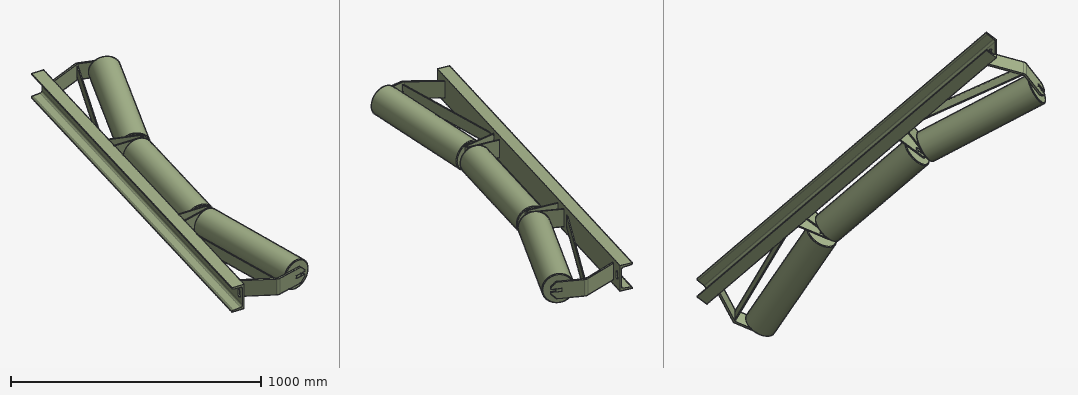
import cadquery as cq
import math

beam_length = 1700.0
beam_height = 120.0
flange_depth = 55.0
web_thickness = 7.0
flange_thickness = 10.0
flange_taper = 0.08
root_radius = 9.0
tip_radius = 6.0
beam_slot_spacing = 1640.0
beam_slot_length = 36.0
beam_slot_width = 17.0

roller_diameter = 133.0
roller_length = 530.0
roller_rim_chamfer = 3.0
shaft_diameter = 25.0
shaft_flat_width = 14.0
trough_angle = 15
trail_angle = 2
middle_axis_y = 113.0
wing_center_x = 558.0
wing_center_y = 188.0

outer_strip_height = 77.0
inner_strip_height = 82.0
slot_opening = 68.0
slot_overrun = 3.0

outer_strip = 9.0
outer_bend_radius = 22.0
outer_bend_y = 154.0
outer_reach_x = 855.0
outer_top_leg = 137.0
outer_foot_angle = 24
outer_corner = 22.0

inner_strip = 5.0
inner_top_y = 144.0
inner_upright_x = 272.0
inner_foot_x = 325.0

brace_strip = 5.0
brace_height = 55.0
brace_foot_x = 360.0
brace_angle = 17.5

roller_radius = roller_diameter / 2
shaft_radius = shaft_diameter / 2
trough_sin = math.sin(math.radians(trough_angle))
trough_cos = math.cos(math.radians(trough_angle))
trough_tan = trough_sin / trough_cos
foot_tan = math.tan(math.radians(outer_foot_angle))
brace_tan = math.tan(math.radians(brace_angle))
wing_center_z = -roller_length / 2 * math.sin(math.radians(trail_angle))
middle_axis_z = 2 * wing_center_z
bend_center = (outer_bend_radius - outer_reach_x, outer_bend_y)
bend_inside_radius = outer_bend_radius - outer_strip
inner_leg_half_x = inner_strip / 2 / trough_cos


def along_wing(x, y):
    """Distance of a point from the wing roller's middle, along its axis toward the middle roller."""
    return (x + wing_center_x) * trough_cos - (y - wing_center_y) * trough_sin


middle_shaft_reach = inner_upright_x + inner_strip / 2
wing_shaft_outer_end = along_wing(*bend_center) - outer_bend_radius
wing_shaft_inner_end = along_wing(inner_leg_half_x - inner_foot_x, 0)


def polar(center, radius, angle):
    turn = math.radians(angle)
    return (center[0] + radius * math.cos(turn), center[1] + radius * math.sin(turn))


def with_mirror_copy(body):
    """The solid on the -X side and its separate copy on the +X side."""
    return [body.val(), body.mirror("YZ").val()]


def place_middle(body):
    return body.translate((0, middle_axis_y, middle_axis_z))


def place_wing(body):
    leaned = body.rotate((0, 0, 0), (0, 1, 0), trail_angle)
    tilted = leaned.rotate((0, 0, 0), (0, 0, 1), -trough_angle)
    return tilted.translate((-wing_center_x, wing_center_y, wing_center_z))


def make_beam():
    half_height = beam_height / 2
    half_depth = flange_depth / 2
    tip_z = half_height - flange_thickness + flange_taper * half_depth
    root_z = half_height - flange_thickness - flange_taper * (half_depth - web_thickness)
    outline = [
        (0, half_height),
        (-flange_depth, half_height),
        (-flange_depth, tip_z),
        (-web_thickness, root_z),
        (-web_thickness, -root_z),
        (-flange_depth, -tip_z),
        (-flange_depth, -half_height),
        (0, -half_height),
    ]
    beam = cq.Workplane("YZ").polyline(outline).close().extrude(beam_length / 2, both=True)

    def long_edges(y, z):
        """The pair of edges along X at this y and at heights -z and +z."""
        margin = 0.2
        return cq.selectors.BoxSelector((-margin, y - margin, -z - margin), (margin, y + margin, z + margin))

    beam = beam.edges(long_edges(-web_thickness, root_z)).fillet(root_radius)
    beam = beam.edges(long_edges(-flange_depth, tip_z)).fillet(tip_radius)
    slots = (
        cq.Workplane("XZ")
        .pushPoints([(-beam_slot_spacing / 2, 0), (beam_slot_spacing / 2, 0)])
        .slot2D(beam_slot_length, beam_slot_width, 90)
        .extrude(web_thickness)
    )
    return beam.cut(slots)


def make_roller(start, end):
    """Roller about the X axis, centred on the origin, with a flatted shaft from x = start to x = end."""
    shell = cq.Workplane("YZ", origin=(-roller_length / 2, 0, 0)).circle(roller_radius).extrude(roller_length)
    shell = shell.edges("%CIRCLE").chamfer(roller_rim_chamfer)
    shaft = cq.Workplane("YZ", origin=(start, 0, 0)).circle(shaft_radius).extrude(end - start)
    flats = cq.Workplane("XY").box(2 * (end - start), shaft_diameter, shaft_flat_width)
    return shell.union(shaft.intersect(flats))


def make_shaft_slot(start, end):
    """Cutter that takes the flats of a shaft from start to end and opens toward +Y."""
    length = end - start + 2 * slot_overrun
    depth = shaft_radius + slot_opening
    return cq.Workplane("XY", origin=(start - slot_overrun, -shaft_radius, 0)).box(
        length, depth, shaft_flat_width, centered=(False, False, True)
    )


def make_outer_bracket():
    leg_angle = 180 - trough_angle
    foot_angle = 180 + outer_foot_angle
    middle_angle = (leg_angle + foot_angle) / 2

    def top(radius):
        x, y = polar(bend_center, radius, leg_angle)
        return (x + outer_top_leg * trough_sin, y + outer_top_leg * trough_cos)

    def foot(radius):
        x, y = polar(bend_center, radius, foot_angle)
        return (x + y * foot_tan, 0)

    bracket = (
        cq.Workplane("XY")
        .moveTo(*top(outer_bend_radius))
        .lineTo(*polar(bend_center, outer_bend_radius, leg_angle))
        .threePointArc(
            polar(bend_center, outer_bend_radius, middle_angle),
            polar(bend_center, outer_bend_radius, foot_angle),
        )
        .lineTo(*foot(outer_bend_radius))
        .lineTo(*foot(bend_inside_radius))
        .lineTo(*polar(bend_center, bend_inside_radius, foot_angle))
        .threePointArc(
            polar(bend_center, bend_inside_radius, middle_angle),
            polar(bend_center, bend_inside_radius, leg_angle),
        )
        .lineTo(*top(bend_inside_radius))
        .close()
        .extrude(outer_strip_height / 2, both=True)
    )
    across_leg = cq.Vector(trough_cos, -trough_sin, 0)
    top_corners = cq.selectors.ParallelDirSelector(across_leg)
    bracket = bracket.edges(top_corners).chamfer(outer_corner)
    return bracket.cut(place_wing(make_shaft_slot(wing_shaft_outer_end, wing_shaft_inner_end)))


def make_inner_bracket():
    """Inverted V: an upright leg beside the middle roller and a sloping leg beside the wing roller."""
    under_top_y = inner_top_y - inner_strip
    upright_near = -inner_upright_x + inner_strip / 2
    upright_far = -inner_upright_x - inner_strip / 2
    leg_near = -inner_foot_x + inner_leg_half_x
    leg_far = -inner_foot_x - inner_leg_half_x
    outline = [
        (upright_near, 0),
        (upright_near, inner_top_y),
        (leg_far + inner_top_y * trough_tan, inner_top_y),
        (leg_far, 0),
        (leg_near, 0),
        (leg_near + under_top_y * trough_tan, under_top_y),
        (upright_far, under_top_y),
        (upright_far, 0),
    ]
    bracket = cq.Workplane("XY").polyline(outline).close().extrude(inner_strip_height / 2, both=True)
    middle_slot = place_middle(make_shaft_slot(-middle_shaft_reach, middle_shaft_reach))
    wing_slot = place_wing(make_shaft_slot(wing_shaft_outer_end, wing_shaft_inner_end))
    return bracket.cut(middle_slot).cut(wing_slot)


def make_brace(outer_bracket):
    """Straight strip from the beam up to the inside of the outer bracket's bend."""
    half_x = brace_strip / 2 / math.sin(math.radians(brace_angle))
    end_x = -outer_reach_x + outer_strip / 2

    def line_y(foot_x):
        return (foot_x - end_x) * brace_tan

    outline = [
        (-brace_foot_x - half_x, 0),
        (-brace_foot_x + half_x, 0),
        (end_x, line_y(-brace_foot_x + half_x)),
        (end_x, line_y(-brace_foot_x - half_x)),
    ]
    brace = (
        cq.Workplane("XY")
        .polyline(outline)
        .close()
        .extrude(brace_height / 2, both=True)
    )
    return brace.cut(outer_bracket)


beam = make_beam()
middle_roller = place_middle(make_roller(-middle_shaft_reach, middle_shaft_reach))
wing_roller = place_wing(make_roller(wing_shaft_outer_end, wing_shaft_inner_end))
outer_bracket = make_outer_bracket()
inner_bracket = make_inner_bracket()
brace = make_brace(outer_bracket)

result = cq.Compound.makeCompound([
    beam.val(),
    middle_roller.val(),
    *with_mirror_copy(wing_roller),
    *with_mirror_copy(outer_bracket),
    *with_mirror_copy(inner_bracket),
    *with_mirror_copy(brace),
])